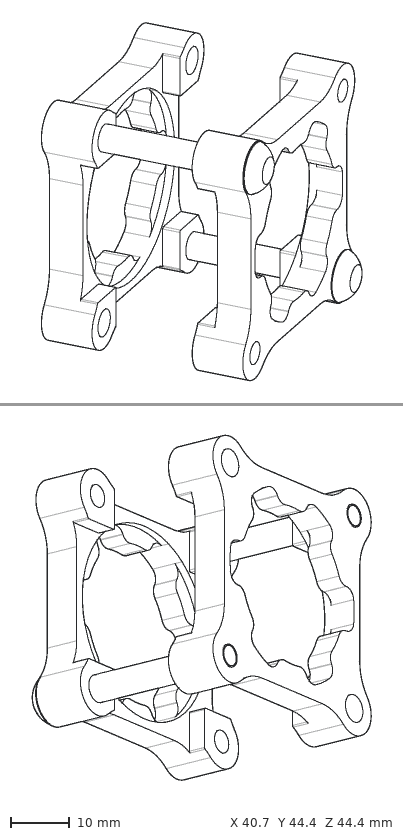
import cadquery as cq
import math

assembly_width = 38.15
corner_offset = 17.42
boss_radius = 4.8

side_half_width = 19.02
side_blend_radius = 9.2
web_thickness = 6.35
boss_height = 9.6
boss_edge_radius = 0.3

lug_circle_radius = 14.22
recess_radius = 17.42
recess_depth = 1.5
notch_width = 8.05
notch_count = 6
notch_blend_radius = 2.1

shank_radius = 2.45
tip_radius = 2.0
tip_chamfer = 0.22
head_radius = 4.62
head_height = 2.55
head_rim_height = 0.2
head_flat_radius = 2.4

boss_inner = corner_offset - boss_radius

clear_corners = [(corner_offset, corner_offset), (-corner_offset, -corner_offset)]
tip_corners = [(-corner_offset, corner_offset), (corner_offset, -corner_offset)]


def outline_corner():
    """Points of one outline corner (+Y, +Z), from the +Y side round to the +Z side."""
    blend_centre = side_half_width + side_blend_radius
    centre_rise = blend_centre - corner_offset
    centre_span = boss_radius + side_blend_radius
    blend_run = math.sqrt(centre_span**2 - centre_rise**2)
    side_end = corner_offset - blend_run

    share = boss_radius / centre_span
    tangent_far = corner_offset + share * centre_rise
    tangent_near = corner_offset - share * blend_run
    bend = math.atan2(blend_run, centre_rise) / 2
    mid_far = blend_centre - side_blend_radius * math.cos(bend)
    mid_near = side_end + side_blend_radius * math.sin(bend)
    boss_tip = corner_offset + boss_radius * math.sqrt(0.5)
    return [
        (side_half_width, side_end),
        (mid_far, mid_near),
        (tangent_far, tangent_near),
        (boss_tip, boss_tip),
        (tangent_near, tangent_far),
        (mid_near, mid_far),
        (side_end, side_half_width),
    ]


def quarter_turns(point, turns):
    """A (Y, Z) point turned about the X axis by a number of right angles."""
    y, z = point
    for _ in range(turns):
        y, z = -z, y
    return (y, z)


def frame_body(thickness):
    """Four-lobed outline extruded along +X from the outer face at X = 0."""
    corner = outline_corner()
    sketch = cq.Workplane("YZ").moveTo(*quarter_turns(corner[-1], 3))
    for turns in range(4):
        start, *arc_points = [quarter_turns(point, turns) for point in corner]
        sketch = sketch.lineTo(*start)
        for middle, end in zip(arc_points[0::2], arc_points[1::2]):
            sketch = sketch.threePointArc(middle, end)
    return sketch.close().extrude(thickness)


def boss_region():
    """Four square blocks, one per corner, that bound the raised bosses."""
    side = 2 * boss_radius
    centres = [(y, z) for y in (-corner_offset, corner_offset) for z in (-corner_offset, corner_offset)]
    return cq.Workplane("YZ").pushPoints(centres).rect(side, side).extrude(boss_height)


def raised_bosses():
    """The blocks trimmed to the frame outline, rounded along both of their inner faces."""
    bosses = frame_body(boss_height).intersect(boss_region())
    reach = boss_inner + boss_edge_radius
    far = 2 * corner_offset
    between_y = cq.selectors.BoxSelector((0, -reach, -far), (boss_height, reach, far))
    between_z = cq.selectors.BoxSelector((0, -far, -reach), (boss_height, far, reach))
    return bosses.edges("|X").edges(between_y + between_z).fillet(boss_edge_radius)


def lugged_opening():
    """Round opening widened by six radial notches, leaving six lugs between them."""
    bar_length = 2 * recess_radius + notch_width
    bar = cq.Workplane("YZ").rect(bar_length, notch_width).extrude(web_thickness)
    notch_limit = cq.Workplane("YZ").circle(recess_radius).extrude(web_thickness)
    notch_pair = bar.intersect(notch_limit)
    opening = cq.Workplane("YZ").circle(lug_circle_radius).extrude(web_thickness)
    for index in range(notch_count // 2):
        opening = opening.union(notch_pair.rotate((0, 0, 0), (1, 0, 0), index * 360 / notch_count))
    return opening.edges("|X").fillet(notch_blend_radius)


def make_frame():
    """First frame: outer face at X = 0, bosses and recess towards +X."""
    frame = frame_body(web_thickness).union(raised_bosses())
    frame = frame.cut(lugged_opening())
    recess = cq.Workplane("YZ", origin=(web_thickness - recess_depth, 0, 0)).circle(recess_radius)
    frame = frame.cut(recess.extrude(recess_depth))
    for corners, radius in ((clear_corners, shank_radius), (tip_corners, tip_radius)):
        frame = frame.cut(cq.Workplane("YZ").pushPoints(corners).circle(radius).extrude(boss_height))
    return frame


def make_pin(corner):
    """Tip in the first frame, shank through the gap and second frame, domed head outside."""
    head_end = assembly_width + head_height
    rim_end = assembly_width + head_rim_height
    dome_rise = head_end - rim_end
    drop = (head_radius**2 - head_flat_radius**2 - dome_rise**2) / (2 * dome_rise)
    dome_radius = math.hypot(head_radius, drop)
    dome_mid_x = (rim_end + head_end) / 2
    dome_mid_radius = math.sqrt(dome_radius**2 - (drop + dome_rise / 2) ** 2)
    profile = (
        cq.Workplane("XY")
        .lineTo(0, tip_radius - tip_chamfer)
        .lineTo(tip_chamfer, tip_radius)
        .lineTo(boss_height, tip_radius)
        .lineTo(boss_height, shank_radius)
        .lineTo(assembly_width, shank_radius)
        .lineTo(assembly_width, head_radius)
        .lineTo(rim_end, head_radius)
        .threePointArc((dome_mid_x, dome_mid_radius), (head_end, head_flat_radius))
        .lineTo(head_end, 0)
        .close()
    )
    return profile.revolve(360, (0, 0, 0), (1, 0, 0)).translate((0, *corner))


turn_axis = ((assembly_width / 2, 0, 0), (assembly_width / 2, 0, 1))
frames = [make_frame().rotate(*turn_axis, angle) for angle in (0, 180)]
pins = [make_pin(corner) for corner in tip_corners]

result = cq.Compound.makeCompound([body.val() for body in frames + pins])